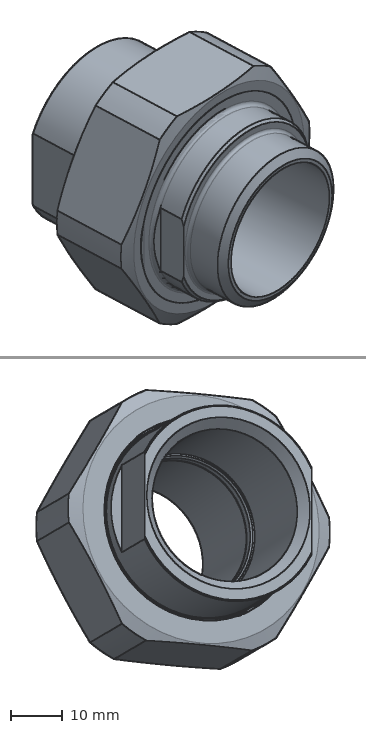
import cadquery as cq
import math

LENGTH = 49.0
BODY_RADIUS = 39.0 / 2
FLAT_WALL_ANGLE = 15.0

NUT_START = 14.45
NUT_END = 32.9
NUT_ACROSS_FLATS = 50.0
NUT_CORNER_RADIUS = 27.35
NUT_FACE_RADIUS = 24.65
NUT_CHAMFER = 0.9
NUT_MOUTH_RADIUS = 20.2
NUT_SHOULDER = 17.15
NUT_BORE_RADIUS = 44.85 / 2

TAIL_EDGE_CHAMFER = 0.2
TAIL_FLAT_OFFSET = 17.45
TAIL_FLAT_END = 12.0
TAIL_NECK_START = 15.0
TAIL_NECK_RADIUS = 39.5 / 2
TAIL_FLANGE_RADIUS = 43.35 / 2
SEAT = 26.25
SOCKET_MOUTH_RADIUS = 17.05
SOCKET_MOUTH_DEPTH = 1.9
SOCKET_RADIUS = 30.3 / 2
SOCKET_DEPTH = 24.05
THROAT_RADIUS = 28.7 / 2
THROAT_CHAMFER = 0.41

COLLAR_RADIUS = 19.4
COLLAR_ROOT_FILLET = 0.9
COLLAR_END = 39.9
COLLAR_CHAMFER = 0.55
COLLAR_FLAT_OFFSET = 17.9
COLLAR_FLAT_START = 33.95
SPIGOT_RADIUS = 33.7 / 2
SPIGOT_FILLET = 0.7
SPIGOT_CHAMFER_LENGTH = 1.2
SPIGOT_CHAMFER_DEPTH = 1.8
PIECE_BORE_RADIUS = 28.5 / 2


def revolve_x(profile):
    """Revolve a closed (x, radius) outline about the X axis."""
    return profile.close().revolve(360, (0, 0, 0), (1, 0, 0))


def flats_cutter(offset, wall_x, open_x):
    """Material outside two flats at y = +/-offset, from leaning plane walls at wall_x to open_x."""
    outer = 2 * BODY_RADIUS
    slope = math.copysign(math.tan(math.radians(FLAT_WALL_ANGLE)), wall_x - open_x)
    lean = slope * (outer - offset)
    one_side = (
        cq.Workplane("XY")
        .moveTo(open_x, offset)
        .lineTo(wall_x, offset)
        .lineTo(wall_x + lean, outer)
        .lineTo(open_x, outer)
        .close()
        .extrude(outer, both=True)
    )
    return one_side.union(one_side.mirror("XZ"))


def make_nut():
    hex_diameter = NUT_ACROSS_FLATS / math.cos(math.pi / 6)
    hexagon = (
        cq.Workplane("YZ", origin=(NUT_START, 0, 0))
        .polygon(6, hex_diameter)
        .extrude(NUT_END - NUT_START)
    )
    envelope = revolve_x(
        cq.Workplane("XY")
        .moveTo(NUT_START, 0)
        .lineTo(NUT_START, NUT_FACE_RADIUS)
        .lineTo(NUT_START + NUT_CHAMFER, NUT_CORNER_RADIUS)
        .lineTo(NUT_END - NUT_CHAMFER, NUT_CORNER_RADIUS)
        .lineTo(NUT_END, NUT_FACE_RADIUS)
        .lineTo(NUT_END, 0)
    )
    bore = revolve_x(
        cq.Workplane("XY")
        .moveTo(NUT_START, 0)
        .lineTo(NUT_START, NUT_MOUTH_RADIUS)
        .lineTo(NUT_SHOULDER, NUT_MOUTH_RADIUS)
        .lineTo(NUT_SHOULDER, NUT_BORE_RADIUS)
        .lineTo(NUT_END, NUT_BORE_RADIUS)
        .lineTo(NUT_END, 0)
    )
    return hexagon.intersect(envelope).cut(bore)


def make_tail_piece():
    body = revolve_x(
        cq.Workplane("XY")
        .moveTo(0, SOCKET_MOUTH_RADIUS)
        .lineTo(0, BODY_RADIUS - TAIL_EDGE_CHAMFER)
        .lineTo(TAIL_EDGE_CHAMFER, BODY_RADIUS)
        .lineTo(TAIL_NECK_START, BODY_RADIUS)
        .lineTo(TAIL_NECK_START, TAIL_NECK_RADIUS)
        .lineTo(NUT_SHOULDER, TAIL_NECK_RADIUS)
        .lineTo(NUT_SHOULDER, TAIL_FLANGE_RADIUS)
        .lineTo(SEAT, TAIL_FLANGE_RADIUS)
        .lineTo(SEAT, THROAT_RADIUS)
        .lineTo(SOCKET_DEPTH + THROAT_CHAMFER, THROAT_RADIUS)
        .lineTo(SOCKET_DEPTH, THROAT_RADIUS + THROAT_CHAMFER)
        .lineTo(SOCKET_DEPTH, SOCKET_RADIUS)
        .lineTo(SOCKET_MOUTH_DEPTH, SOCKET_RADIUS)
    )
    return body.cut(flats_cutter(TAIL_FLAT_OFFSET, TAIL_FLAT_END, 0))


def make_threaded_piece():
    arc_drop = 1 - math.sqrt(0.5)
    root_inset = COLLAR_ROOT_FILLET * arc_drop
    spigot_inset = SPIGOT_FILLET * arc_drop
    body = revolve_x(
        cq.Workplane("XY")
        .moveTo(SEAT, PIECE_BORE_RADIUS)
        .lineTo(SEAT, NUT_BORE_RADIUS)
        .lineTo(NUT_END, NUT_BORE_RADIUS)
        .lineTo(NUT_END, COLLAR_RADIUS + COLLAR_ROOT_FILLET)
        .threePointArc(
            (NUT_END + root_inset, COLLAR_RADIUS + root_inset),
            (NUT_END + COLLAR_ROOT_FILLET, COLLAR_RADIUS),
        )
        .lineTo(COLLAR_END - COLLAR_CHAMFER, COLLAR_RADIUS)
        .lineTo(COLLAR_END, COLLAR_RADIUS - COLLAR_CHAMFER)
        .lineTo(COLLAR_END, SPIGOT_RADIUS + SPIGOT_FILLET)
        .threePointArc(
            (COLLAR_END + spigot_inset, SPIGOT_RADIUS + spigot_inset),
            (COLLAR_END + SPIGOT_FILLET, SPIGOT_RADIUS),
        )
        .lineTo(LENGTH - SPIGOT_CHAMFER_LENGTH, SPIGOT_RADIUS)
        .lineTo(LENGTH, SPIGOT_RADIUS - SPIGOT_CHAMFER_DEPTH)
        .lineTo(LENGTH, PIECE_BORE_RADIUS)
    )
    return body.cut(flats_cutter(COLLAR_FLAT_OFFSET, COLLAR_FLAT_START, LENGTH))


nut = make_nut()
tail_piece = make_tail_piece()
threaded_piece = make_threaded_piece()

result = cq.Compound.makeCompound([nut.val(), tail_piece.val(), threaded_piece.val()])